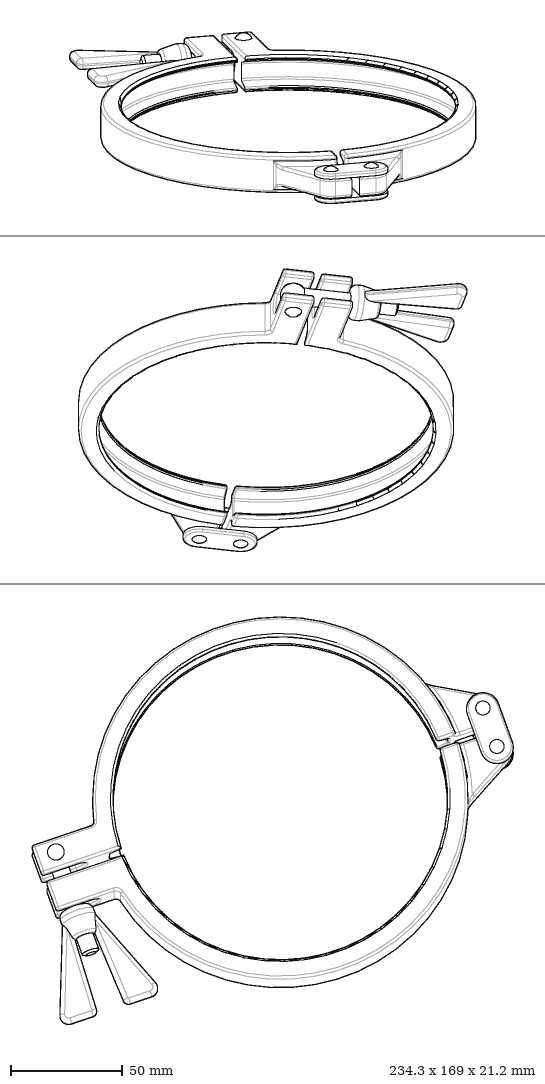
import cadquery as cq
import math

ring_outer_radius = 84.5
ring_inner_radius = 75.3
ring_height = 16.8
ring_top = ring_height / 2
ring_edge_radius = 1.2
half_gap = 1.75

groove_floor_radius = 81.0
groove_mouth_half_width = 6.2
groove_corner_radius = 1.0
groove_lip_radius = 0.7
groove_side_angle = math.radians(20)
groove_depth = groove_floor_radius - ring_inner_radius
groove_floor_half_width = groove_mouth_half_width - groove_depth * math.tan(groove_side_angle)

ear_outer_y = 16.1
pivot_ear_end_x = -113.1
nut_ear_end_x = -112.4
ear_corner_radius = 1.2
ear_root_radius = 2.5
bolt_x = -103.75
pivot_y = 9.5
slot_radius = 4.3
slot_edge_radius = 1.0
slot_end_center_x = bolt_x + 7.3

hinge_x = 100.0
hinge_y = 9.5
lug_height = 9.4
lug_end_radius = 7.0
lug_side_angle = math.radians(30)
lug_edge_radius = 1.25
lug_root_radius = 2.0
lug_start_radius = ring_inner_radius + 2.5

link_end_radius = 7.4
link_thickness = 2.3
link_edge_radius = 0.9
link_outer_z = lug_height / 2 + link_thickness
hinge_pin_radius = 3.25
hinge_pin_dome = 1.5

pivot_pin_radius = 3.75
pivot_pin_length = 21.25
pivot_pin_dome = (pivot_pin_length - ring_height) / 2
bolt_radius = 4.0
bolt_eye_radius = 5.85
bolt_tip_y = -38.4
bolt_tip_radius = 4.82 / 2
bolt_tip_chamfer = 0.9

nut_collar_radius = 8.0
nut_crown_radius = 3.0
nut_collar_length = 5.5
nut_end_radius = 5.9
nut_length = 13.8
nut_end_edge_radius = 1.5
wing_thickness = 5.2
wing_edge_radius = 2.2
wing_length = 50.2
wing_tip_outer = 24.95
wing_tip_inner = 6.5
wing_root_outer = 6.9
wing_root_inner = 2.0
wing_neck_inner = 4.6
wing_neck_depth = 12.0
wing_root_depth = 3.0
wing_outer_corner_radius = 4.0
wing_inner_corner_radius = 2.5

tolerance = 0.01
root_tolerance = 0.1
overrun = 1.0


def cylinder(radius, height, x=0.0, y=0.0):
    """Cylinder along Z, centred on the plane Z = 0."""
    return cq.Workplane("XY").center(x, y).circle(radius).extrude(height / 2, both=True)


def block(x_min, x_max, y_min, y_max, height):
    """Box between the given X and Y limits, centred on the plane Z = 0."""
    return (
        cq.Workplane("XY")
        .center((x_min + x_max) / 2, (y_min + y_max) / 2)
        .rect(x_max - x_min, y_max - y_min)
        .extrude(height / 2, both=True)
    )


def edges_where(body, test):
    """Workplane with the edges of the body that pass the test."""
    return body.newObject([edge for edge in body.edges().vals() if test(edge)])


def ring_with_ear(ear_end_x):
    """Half ring on the +Y side with a rectangular ear at its -X end."""
    half_space = block(-ring_outer_radius, ring_outer_radius, half_gap, ring_outer_radius, ring_height)
    body = cylinder(ring_outer_radius, ring_height).intersect(half_space)
    ear = block(ear_end_x, -ring_inner_radius, half_gap, ear_outer_y, ring_height)
    ear = ear.edges("|Z and <X").fillet(ear_corner_radius)
    body = body.union(ear).cut(cylinder(ring_inner_radius, ring_height))
    root_x = -math.sqrt(ring_outer_radius**2 - ear_outer_y**2)

    def is_ear_root(edge):
        center = edge.Center()
        return math.hypot(center.x - root_x, center.y - ear_outer_y) < root_tolerance

    body = edges_where(body, is_ear_root).fillet(ear_root_radius)

    def is_rounded_rim(edge):
        center = edge.Center()
        on_rim = abs(abs(center.z) - ring_top) < tolerance
        on_hinge_end = center.x > 0 and abs(center.y - half_gap) < tolerance
        return on_rim and not on_hinge_end

    return edges_where(body, is_rounded_rim).fillet(ring_edge_radius)


def hinge_lug():
    """Tapered lug that carries the hinge pin."""
    tangent_x = hinge_x + lug_end_radius * math.sin(lug_side_angle)
    tangent_y = hinge_y + lug_end_radius * math.cos(lug_side_angle)
    mid_angle = (math.pi / 2 - lug_side_angle) / 2
    mid_x = hinge_x + lug_end_radius * math.cos(mid_angle)
    mid_y = hinge_y + lug_end_radius * math.sin(mid_angle)
    root_y = tangent_y + (tangent_x - lug_start_radius) * math.tan(lug_side_angle)
    lug = (
        cq.Workplane("XY")
        .moveTo(lug_start_radius, half_gap)
        .lineTo(hinge_x + lug_end_radius, half_gap)
        .lineTo(hinge_x + lug_end_radius, hinge_y)
        .threePointArc((mid_x, mid_y), (tangent_x, tangent_y))
        .lineTo(lug_start_radius, root_y)
        .close()
        .extrude(lug_height / 2, both=True)
    )
    return lug.cut(cylinder(lug_start_radius, ring_height))


def ring_groove():
    """Ring-shaped cutter with flared sides and rounded floor corners."""
    mouth_radius = ring_inner_radius - overrun
    mouth_half_width = groove_mouth_half_width + overrun * math.tan(groove_side_angle)
    return (
        cq.Workplane("XZ")
        .moveTo(mouth_radius, mouth_half_width)
        .lineTo(groove_floor_radius, groove_floor_half_width)
        .lineTo(groove_floor_radius, -groove_floor_half_width)
        .lineTo(mouth_radius, -mouth_half_width)
        .close()
        .revolve(360, (0, 0, 0), (0, 1, 0))
        .edges(cq.selectors.RadiusNthSelector(-1))
        .fillet(groove_corner_radius)
    )


def ear_slot():
    """Cutter for the bolt slot: open at the ear end, round at its inner end."""
    slot_reach = ear_outer_y + overrun
    open_end = block(pivot_ear_end_x - overrun, slot_end_center_x, 0, slot_reach, 2 * slot_radius)
    round_end = cq.Workplane("XZ").center(slot_end_center_x, 0).circle(slot_radius).extrude(-slot_reach)
    return open_end.union(round_end)


def clamp_half(ear_end_x):
    """Clamp half on the +Y side."""
    body = ring_with_ear(ear_end_x).union(hinge_lug())

    def is_lug_root(edge):
        ends = [edge.startPoint(), edge.endPoint()]
        on_ring = all(abs(math.hypot(p.x, p.y) - ring_outer_radius) < tolerance for p in ends)
        on_lug = all(p.x > 0 and abs(p.z) < lug_height / 2 + tolerance for p in ends)
        return on_ring and on_lug and edge.Center().y > half_gap + tolerance

    body = edges_where(body, is_lug_root).fillet(lug_root_radius)

    def is_lug_rim(edge):
        center = edge.Center()
        on_face = abs(abs(center.z) - lug_height / 2) < tolerance
        outside_root = math.hypot(center.x, center.y) > ring_outer_radius + lug_root_radius
        return on_face and outside_root and center.x > 0

    body = edges_where(body, is_lug_rim).fillet(lug_edge_radius)
    body = body.cut(ring_groove())

    def is_groove_lip(edge):
        if edge.geomType() != "CIRCLE" or abs(edge.radius() - ring_inner_radius) > tolerance:
            return False
        return abs(edge.startPoint().z) < groove_mouth_half_width + root_tolerance

    body = edges_where(body, is_groove_lip).fillet(groove_lip_radius)
    body = body.cut(ear_slot())

    def is_slot_edge(edge):
        center = edge.Center()
        on_side = abs(abs(center.z) - slot_radius) < tolerance and center.x < slot_end_center_x + root_tolerance
        on_end = edge.geomType() == "CIRCLE" and abs(edge.radius() - slot_radius) < tolerance
        return (on_side or on_end) and center.x < -ring_outer_radius

    return edges_where(body, is_slot_edge).fillet(slot_edge_radius)


def domed_pin(x, y, radius, base_z, dome_height):
    """Pin along Z with a spherical dome beyond each of the faces at +-base_z."""
    tip_z = base_z + dome_height
    sphere_radius = (radius**2 + dome_height**2) / (2 * dome_height)
    mid_angle = math.asin(radius / sphere_radius) / 2
    mid_r = sphere_radius * math.sin(mid_angle)
    mid_z = tip_z - sphere_radius * (1 - math.cos(mid_angle))
    return (
        cq.Workplane("XZ", origin=(x, y, 0))
        .moveTo(0, -tip_z)
        .threePointArc((mid_r, -mid_z), (radius, -base_z))
        .lineTo(radius, base_z)
        .threePointArc((mid_r, mid_z), (0, tip_z))
        .close()
        .revolve(360, (0, 0, 0), (0, 1, 0))
    )


def hinge_pin(side):
    """Pin through the links and the lug on the +Y or -Y side."""
    return domed_pin(hinge_x, side * hinge_y, hinge_pin_radius, link_outer_z, hinge_pin_dome)


def pivot_pin():
    """Pin that carries the eye of the swing bolt."""
    return domed_pin(bolt_x, pivot_y, pivot_pin_radius, ring_top, pivot_pin_dome)


def hinge_link(side, pins):
    """Obround link on the +Z or -Z side of the lugs."""
    link = (
        cq.Workplane("XY")
        .center(hinge_x, 0)
        .slot2D(2 * (hinge_y + link_end_radius), 2 * link_end_radius, 90)
        .extrude(link_thickness)
        .faces(">Z")
        .edges()
        .fillet(link_edge_radius)
        .translate((0, 0, lug_height / 2))
    )
    if side < 0:
        link = link.mirror("XY")
    for pin in pins:
        link = link.cut(pin)
    return link


def swing_bolt():
    """Bolt along Y with a ball eye that is flattened on both sides."""
    shank = (
        cq.Workplane("XZ", origin=(bolt_x, pivot_y, 0))
        .circle(bolt_radius)
        .extrude(pivot_y - bolt_tip_y)
        .faces("<Y")
        .chamfer(bolt_tip_chamfer, bolt_radius - bolt_tip_radius)
    )
    eye = cq.Workplane("XY").sphere(bolt_eye_radius).translate((bolt_x, pivot_y, 0))
    eye = eye.intersect(cylinder(bolt_eye_radius, 2 * bolt_radius, bolt_x, pivot_y))
    return shank.union(eye)


def nut_wing():
    """Wing on the -X side of the nut, in nut coordinates: seat at Y = 0, axis along -Y."""
    wing = (
        cq.Workplane("XY")
        .moveTo(-wing_root_inner, -wing_root_depth)
        .lineTo(-wing_root_outer, -wing_root_depth)
        .lineTo(-wing_tip_outer, -wing_length)
        .lineTo(-wing_tip_inner, -wing_length)
        .lineTo(-wing_neck_inner, -wing_neck_depth)
        .close()
        .extrude(wing_thickness / 2, both=True)
    )
    wing = wing.edges("|Z").edges("<Y").edges(">X").fillet(wing_inner_corner_radius)
    wing = wing.edges("|Z").edges("<X").fillet(wing_outer_corner_radius)
    return wing.faces("|Z").edges("not >Y").fillet(wing_edge_radius)


def wing_nut():
    """Nut with a rounded collar, a tapered body, two wings and a plain bore."""
    body = (
        cq.Workplane("XY")
        .lineTo(nut_collar_radius, 0)
        .lineTo(nut_collar_radius, -nut_collar_length)
        .lineTo(nut_end_radius, -nut_length)
        .lineTo(0, -nut_length)
        .close()
        .revolve(360, (0, 0, 0), (0, 1, 0))
    )
    body = body.faces(">Y").edges().fillet(nut_crown_radius)
    body = body.faces("<Y").edges().fillet(nut_end_edge_radius)
    wing = nut_wing()
    body = body.union(wing).union(wing.mirror("YZ"))
    bore = cq.Workplane("XZ").circle(bolt_radius).extrude(nut_length)
    return body.cut(bore).translate((bolt_x, -ear_outer_y, 0))


pivot = pivot_pin()
hinge_pins = [hinge_pin(side) for side in (1, -1)]
links = [hinge_link(side, hinge_pins) for side in (1, -1)]
bolt = swing_bolt().cut(pivot)
nut = wing_nut()
pivot_half = clamp_half(pivot_ear_end_x).cut(pivot).cut(hinge_pins[0])
nut_half = clamp_half(nut_ear_end_x).mirror("XZ").cut(hinge_pins[1])

bodies = [pivot_half, nut_half, bolt, pivot, nut, *links, *hinge_pins]
result = cq.Compound.makeCompound([body.val() for body in bodies])